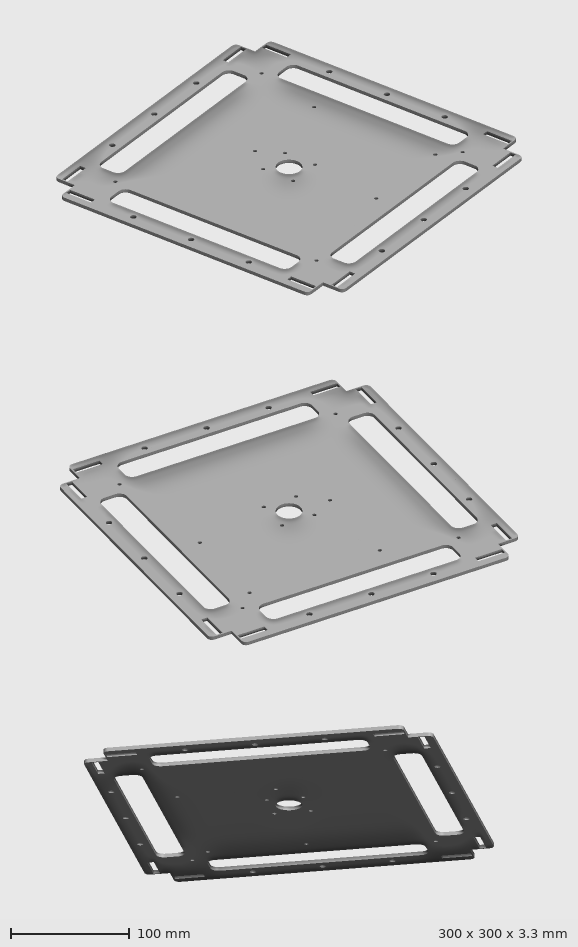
import cadquery as cq

side = 300.0
thickness = 3.3
half_side = side / 2
corner_notch = 21.0
tab_radius = 4.5

window_length = 187.2
window_width = 24.5
window_inset = 30.0
window_radius = 7.2

slot_length = 25.8
slot_width = 5.7
slot_wall = 1.2

edge_inset = 10.0
edge_hole_diameter = 5.5
edge_hole_pitch = 60.0

bore_diameter = 22.5
small_hole_diameter = 3.5
bore_pattern_spacing = 31.2

corner_pattern_spacing = 209.0

board_pattern_length = 126.0
board_pattern_width = 84.5
board_center = (25.2, 45.5)

quarter_turns = (0, 90, 180, 270)


def make_plate():
    """Square plate with notched corners and rounded tab ends."""
    tab_length = side - 2 * corner_notch

    def tab_strip(size_x, size_y):
        strip = cq.Workplane("XY").box(size_x, size_y, thickness, centered=(True, True, False))
        return strip.edges("|Z").fillet(tab_radius)

    return tab_strip(side, tab_length).union(tab_strip(tab_length, side))


def holes(points, diameter):
    """Through-hole cutters at the given points."""
    return cq.Workplane("XY").pushPoints(points).circle(diameter / 2).extrude(thickness)


def rectangle_corners(center, size_x, size_y):
    return [
        (center[0] + sign_x * size_x / 2, center[1] + sign_y * size_y / 2)
        for sign_x in (-1, 1)
        for sign_y in (-1, 1)
    ]


def side_cutters():
    """Window, slots and hole row of the +Y side."""
    window = (
        cq.Workplane("XY")
        .center(0, half_side - window_inset)
        .rect(window_length, window_width)
        .extrude(thickness)
        .edges("|Z")
        .fillet(window_radius)
    )
    row_y = half_side - edge_inset
    row_points = [(step * edge_hole_pitch, row_y) for step in (-1, 0, 1)]
    cutters = window.union(holes(row_points, edge_hole_diameter))
    slot_x = half_side - corner_notch - slot_wall - slot_length / 2
    slot = cq.Workplane("XY").rect(slot_length, slot_width).extrude(thickness)
    for x in (-slot_x, slot_x):
        cutters = cutters.union(slot.translate((x, row_y, 0)))
    return cutters


result = make_plate()

for angle in quarter_turns:
    result = result.cut(side_cutters().rotate((0, 0, 0), (0, 0, 1), angle))

origin = (0, 0)
small_hole_points = (
    rectangle_corners(origin, bore_pattern_spacing, bore_pattern_spacing)
    + rectangle_corners(origin, corner_pattern_spacing, corner_pattern_spacing)
    + rectangle_corners(board_center, board_pattern_length, board_pattern_width)
)
result = result.cut(holes([origin], bore_diameter))
result = result.cut(holes(small_hole_points, small_hole_diameter))